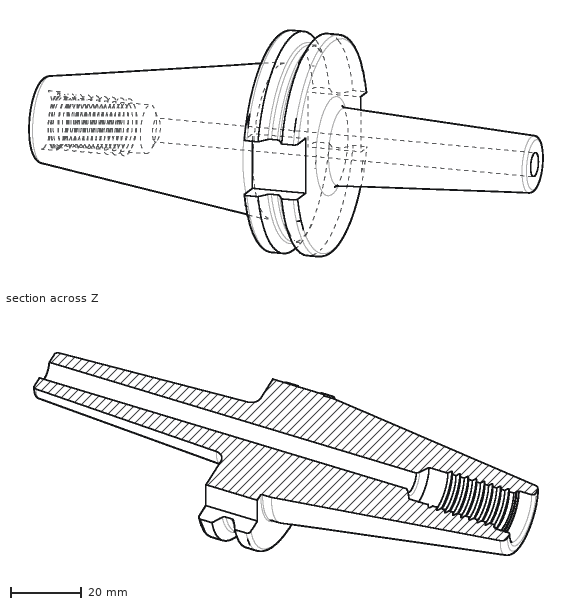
import cadquery as cq
import math

TOTAL_LENGTH = 148.2

GAUGE_DIAMETER = 44.5
GAUGE_X = 68.2
TAPER_RATIO = 7 / 24
TAPER_END_RADIUS = 1.8
COLLAR_FILLET = 0.37

FLANGE_DIAMETER = 63.5
FLANGE_START_X = 71.3
FLANGE_END_X = 87.3
FLANGE_EDGE_RADIUS = 1.0
GROOVE_CENTER_X = 79.3
GROOVE_WIDTH = 7.1
GROOVE_DEPTH = 3.5
GROOVE_FLANK_ANGLE = 30.0
GROOVE_ROOT_RADIUS = 1.0

SLOT_WIDTH = 16.2
SLOT_FLOOR_FRONT = 22.7
SLOT_FLOOR_BACK = 24.9

NOSE_TIP_DIAMETER = 16.3
NOSE_ANGLE = 3.0
NOSE_ROOT_RADIUS = 3.0
NOSE_TIP_RADIUS = 1.0

PILOT_DIAMETER = 16.8
PILOT_DEPTH = 4.7
PILOT_MOUTH_RADIUS = 0.9
RELIEF_DIAMETER = 15.9
RELIEF_LENGTH = 0.6
LEAD_IN_CHAMFER = 0.5
THREAD_MINOR_DIAMETER = 14.0
THREAD_MAJOR_DIAMETER = 16.3
THREAD_PITCH = 2.5
THREAD_ANGLE = 60.0
THREAD_COUNT = 8
DRILL_DEPTH = 32.0
DRILL_POINT_ANGLE = 118.0
THROUGH_DIAMETER = 6.8
THROUGH_CHAMFER_DIAMETER = 8.2

EDGE_SEARCH_MARGIN = 0.07
AXIS_START = (0, 0, 0)
AXIS_END = (1, 0, 0)


def revolve_about_x(points):
    """Solid of revolution from an (x, radius) outline."""
    return cq.Workplane("XY").polyline(points).close().revolve(360, AXIS_START, AXIS_END)


def circle_edges(solid, x, radius):
    """Circular edges of the given radius around the X axis at position x."""
    margin = EDGE_SEARCH_MARGIN
    ring_box = cq.selectors.BoxSelector(
        (x - margin, -radius - margin, -radius - margin),
        (x + margin, radius + margin, radius + margin),
        boundingbox=True,
    )
    inner_box = cq.selectors.BoxSelector(
        (x - margin, -radius + margin, -radius + margin),
        (x + margin, radius - margin, radius - margin),
        boundingbox=True,
    )
    return solid.edges(ring_box - inner_box)


def make_body():
    """Taper, collar, flange with V groove, and nose."""
    gauge_radius = GAUGE_DIAMETER / 2
    small_end_radius = gauge_radius - GAUGE_X * TAPER_RATIO / 2
    flange_radius = FLANGE_DIAMETER / 2
    groove_radius = flange_radius - GROOVE_DEPTH
    groove_half_top = GROOVE_WIDTH / 2
    groove_half_root = groove_half_top - GROOVE_DEPTH * math.tan(math.radians(GROOVE_FLANK_ANGLE))
    tip_radius = NOSE_TIP_DIAMETER / 2
    nose_slope = math.tan(math.radians(NOSE_ANGLE))
    nose_root_radius = tip_radius + (TOTAL_LENGTH - FLANGE_END_X) * nose_slope

    body = revolve_about_x([
        (0, 0),
        (0, small_end_radius),
        (GAUGE_X, gauge_radius),
        (FLANGE_START_X, gauge_radius),
        (FLANGE_START_X, flange_radius),
        (GROOVE_CENTER_X - groove_half_top, flange_radius),
        (GROOVE_CENTER_X - groove_half_root, groove_radius),
        (GROOVE_CENTER_X + groove_half_root, groove_radius),
        (GROOVE_CENTER_X + groove_half_top, flange_radius),
        (FLANGE_END_X, flange_radius),
        (FLANGE_END_X, nose_root_radius),
        (TOTAL_LENGTH, tip_radius),
        (TOTAL_LENGTH, 0),
    ])

    rounded_edges = [
        (0, small_end_radius, TAPER_END_RADIUS),
        (FLANGE_START_X, gauge_radius, COLLAR_FILLET),
        (FLANGE_START_X, flange_radius, FLANGE_EDGE_RADIUS),
        (GROOVE_CENTER_X - groove_half_root, groove_radius, GROOVE_ROOT_RADIUS),
        (GROOVE_CENTER_X + groove_half_root, groove_radius, GROOVE_ROOT_RADIUS),
        (FLANGE_END_X, flange_radius, FLANGE_EDGE_RADIUS),
        (FLANGE_END_X, nose_root_radius, NOSE_ROOT_RADIUS),
        (TOTAL_LENGTH, tip_radius, NOSE_TIP_RADIUS),
    ]
    for x, edge_radius, fillet_radius in rounded_edges:
        body = circle_edges(body, x, edge_radius).fillet(fillet_radius)
    return body


def make_drive_slot(floor_y, side):
    """Block that cuts one drive slot; side is -1 for -Y and +1 for +Y."""
    depth = FLANGE_DIAMETER / 2
    length = FLANGE_END_X - FLANGE_START_X
    return cq.Workplane("XY").box(length, depth, SLOT_WIDTH).translate(
        ((FLANGE_START_X + FLANGE_END_X) / 2, side * (floor_y + depth / 2), 0)
    )


def make_bore():
    """Pilot bore, relief step, ring-shaped thread grooves, drill point and through hole."""
    pilot_radius = PILOT_DIAMETER / 2
    relief_radius = RELIEF_DIAMETER / 2
    minor_radius = THREAD_MINOR_DIAMETER / 2
    major_radius = THREAD_MAJOR_DIAMETER / 2
    through_radius = THROUGH_DIAMETER / 2
    chamfer_radius = THROUGH_CHAMFER_DIAMETER / 2
    thread_start_x = PILOT_DEPTH + RELIEF_LENGTH
    half_thread = (major_radius - minor_radius) * math.tan(math.radians(THREAD_ANGLE / 2))
    point_length = (minor_radius - chamfer_radius) / math.tan(math.radians(DRILL_POINT_ANGLE / 2))
    point_end_x = DRILL_DEPTH + point_length

    outline = [
        (0, 0),
        (0, pilot_radius),
        (PILOT_DEPTH, pilot_radius),
        (PILOT_DEPTH, relief_radius),
        (thread_start_x, relief_radius),
        (thread_start_x, minor_radius + LEAD_IN_CHAMFER),
        (thread_start_x + LEAD_IN_CHAMFER, minor_radius),
    ]
    for turn in range(1, THREAD_COUNT + 1):
        groove_x = thread_start_x + turn * THREAD_PITCH
        outline += [
            (groove_x - half_thread, minor_radius),
            (groove_x, major_radius),
            (groove_x + half_thread, minor_radius),
        ]
    outline += [
        (DRILL_DEPTH, minor_radius),
        (point_end_x, chamfer_radius),
        (point_end_x + chamfer_radius - through_radius, through_radius),
        (TOTAL_LENGTH, through_radius),
        (TOTAL_LENGTH, 0),
    ]
    return revolve_about_x(outline)


holder = (
    make_body()
    .cut(make_drive_slot(SLOT_FLOOR_FRONT, -1))
    .cut(make_drive_slot(SLOT_FLOOR_BACK, 1))
    .cut(make_bore())
)
result = circle_edges(holder, 0, PILOT_DIAMETER / 2).fillet(PILOT_MOUTH_RADIUS)